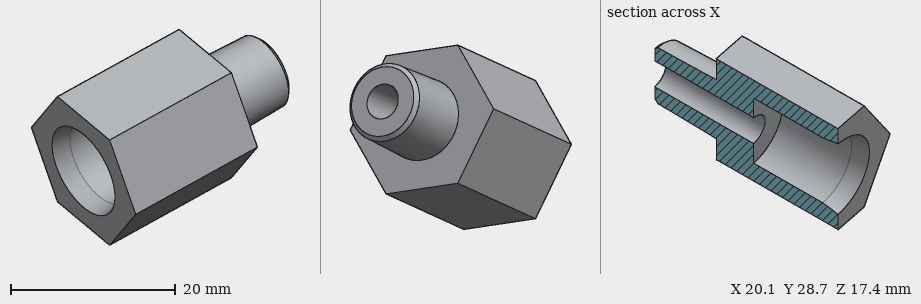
import cadquery as cq

total_length = 28.7
across_corners = 20.1
hex_length = 19.09

stud_root_diameter = 10.25
stud_tip_diameter = 9.73
tip_chamfer = 0.52

mouth_diameter = 12.08
bore_diameter = 11.1
bore_depth = 13.2
through_diameter = 4.35
countersink_depth = 2.38


def revolve_about_y(profile):
    """Turn a closed (radius, y) profile about the Y axis."""
    return cq.Workplane("XY").polyline(profile).close().revolve(360, (0, 0), (0, 1))


body = cq.Workplane("XZ").polygon(6, across_corners).extrude(-hex_length)

stud = revolve_about_y([
    (0, hex_length),
    (stud_root_diameter / 2, hex_length),
    (stud_tip_diameter / 2, total_length - tip_chamfer),
    (stud_tip_diameter / 2 - tip_chamfer, total_length),
    (0, total_length),
])

bore = revolve_about_y([
    (0, 0),
    (mouth_diameter / 2, 0),
    (bore_diameter / 2, countersink_depth),
    (bore_diameter / 2, bore_depth),
    (through_diameter / 2, bore_depth),
    (through_diameter / 2, total_length),
    (0, total_length),
])

result = body.union(stud).cut(bore)